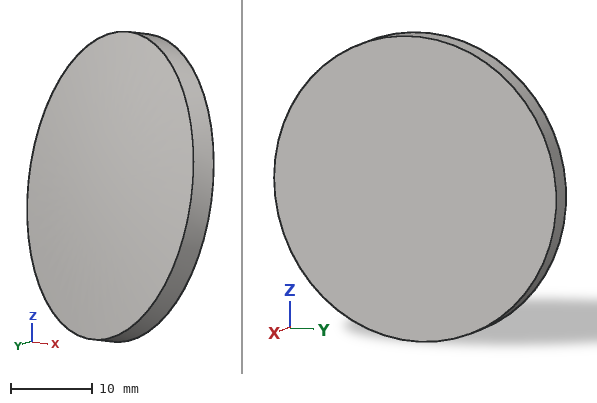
import cadquery as cq

diameter = 38.05
total_thickness = 4.15
edge_thickness = 2.95

radius = diameter / 2
dome_height = total_thickness - edge_thickness
sphere_radius = (radius**2 + dome_height**2) / (2 * dome_height)

mid_y = radius / 2
mid_x = sphere_radius - (sphere_radius**2 - mid_y**2) ** 0.5

half_section = (
    cq.Workplane("XY")
    .moveTo(0, 0)
    .threePointArc((mid_x, -mid_y), (dome_height, -radius))
    .lineTo(total_thickness, -radius)
    .lineTo(total_thickness, 0)
    .close()
)

result = half_section.revolve(360, (0, 0, 0), (1, 0, 0))